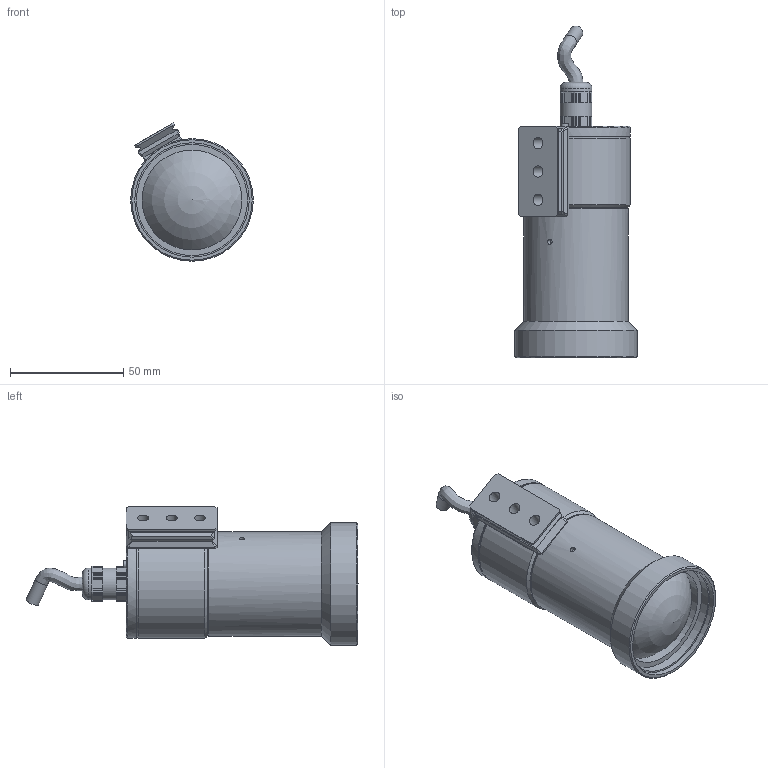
import math

import cadquery as cq


bezel_radius = 27.0
bezel_length = 12.0
bezel_taper = 4.0
rim_chamfer = 0.5

outer_step_radius = 25.2
outer_step_depth = 2.5
inner_step_radius = 24.5
seat_depth = 6.5

lens_radius = 22.0
lens_overhang = 0.1
lens_edge_depth = 10.9
lens_height = lens_edge_depth + lens_overhang

tube_radius = bezel_radius - bezel_taper
rear_radius = 24.0
rear_start = 65.6
rear_chamfer = 1.1
rear_edge_chamfer = 0.5
groove_depth = 0.5
front_groove_width = 0.7
cap_groove_start = 96.7
cap_groove_width = 0.9
rear_face = 102.0

bracket_tilt = 30.0
plate_length = 40.0
plate_width = 20.0
plate_top = 33.5
lip_bottom = 32.7
plate_chamfer = 1.0
side_neck_height = 31.2
side_neck_inset = 1.6
ridge_top = 30.1
ridge_bottom = 28.4
ridge_end_inset = 1.1
ridge_chamfer = 0.7
waist_height = 26.9
waist_side_inset = 0.9
waist_end_inset = 2.2
flange_top = 24.4
flange_bottom = 23.6
slope_chamfer = 0.2
root_inset = 3.0
root_bottom = 20.0
bracket_hole_diameter = 5.0
bracket_hole_pitch = 12.5
bracket_hole_count = 3
bracket_hole_floor = rear_radius

set_hole_diameter = 2.25
set_hole_position = 51.0
set_hole_depth = 2.0

pin_diameter = 3.2
pin_height = 1.4
pin_offset = 10.0

gland_radius = 7.0
gland_end = 121.3
gland_fillet = 2.5
hexagon_sides = 6
gland_corner_radius = 7.85
base_hex_end = 106.5
nut_start = 112.3
nut_end = 117.1
grip_groove_offset = 2.5
grip_groove_width = 1.0
grip_groove_depth = 0.35

cable_diameter = 6.0
cable_bend_points = [
    (0, gland_end, 0),
    (-1.8, 126.2, 0.2),
    (-4.9, 130.8, 2.4),
    (-4.9, 135.3, 4.0),
    (-2.6, 139.3, 0.9),
]
cable_end = (0.15, 143.43, -8.06)


def cylinder(radius, start, end):
    """Solid cylinder on the Y axis between two Y positions."""
    plane = cq.Plane(origin=(0, start, 0), xDir=(1, 0, 0), normal=(0, 1, 0))
    return cq.Workplane(plane).circle(radius).extrude(end - start)


def tilted(shape):
    """Turn a shape built upright about the tube axis."""
    return shape.rotate((0, 0, 0), (0, 1, 0), -bracket_tilt)


def make_housing():
    """Revolved shell outline with the stepped opening and the domed lens."""
    groove_end = rear_start + front_groove_width
    cap_groove_end = cap_groove_start + cap_groove_width
    groove_radius = rear_radius - groove_depth
    lens_sphere_radius = (lens_radius**2 + lens_height**2) / (2 * lens_height)
    lens_mid_radius = lens_radius / 2
    lens_mid_drop = lens_sphere_radius - math.sqrt(lens_sphere_radius**2 - lens_mid_radius**2)
    profile = (
        cq.Workplane("XY")
        .moveTo(0, -lens_overhang)
        .threePointArc((lens_mid_radius, lens_mid_drop - lens_overhang), (lens_radius, lens_edge_depth))
        .lineTo(lens_radius, seat_depth)
        .lineTo(inner_step_radius, seat_depth)
        .lineTo(inner_step_radius, outer_step_depth)
        .lineTo(outer_step_radius, outer_step_depth)
        .lineTo(outer_step_radius, 0)
        .lineTo(bezel_radius - rim_chamfer, 0)
        .lineTo(bezel_radius, rim_chamfer)
        .lineTo(bezel_radius, bezel_length)
        .lineTo(tube_radius, bezel_length + bezel_taper)
        .lineTo(tube_radius, rear_start)
        .lineTo(tube_radius - groove_depth, rear_start)
        .lineTo(tube_radius - groove_depth, groove_end)
        .lineTo(rear_radius - rear_chamfer, groove_end)
        .lineTo(rear_radius, groove_end + rear_chamfer)
        .lineTo(rear_radius, cap_groove_start)
        .lineTo(groove_radius, cap_groove_start)
        .lineTo(groove_radius, cap_groove_end)
        .lineTo(rear_radius, cap_groove_end)
        .lineTo(rear_radius, rear_face - rear_edge_chamfer)
        .lineTo(rear_radius - rear_edge_chamfer, rear_face)
        .lineTo(0, rear_face)
        .close()
    )
    return profile.revolve(360, (0, 0, 0), (0, 1, 0))


def plate_outline(height, side_inset, end_inset, chamfer):
    """Rectangle with cut corners at a height above the tube axis."""
    center_y = rear_face - plate_length / 2
    half_x = plate_width / 2 - side_inset
    half_y = plate_length / 2 - end_inset
    corners = []
    for sign_x, sign_y in [(1, 1), (1, -1), (-1, -1), (-1, 1)]:
        along_x = (sign_x * (half_x - chamfer), center_y + sign_y * half_y, height)
        along_y = (sign_x * half_x, center_y + sign_y * (half_y - chamfer), height)
        in_order = [along_x, along_y] if sign_x == sign_y else [along_y, along_x]
        corners.extend(cq.Vector(*corner) for corner in in_order)
    return cq.Wire.makePolygon(corners, close=True)


def make_bracket():
    """Mounting plate stacked from layers, with undercuts on all four sides."""
    sections = [
        (root_bottom, root_inset, root_inset, plate_chamfer),
        (flange_bottom, root_inset, root_inset, plate_chamfer),
        (flange_bottom, 0, 0, plate_chamfer),
        (flange_top, 0, 0, plate_chamfer),
        (waist_height, waist_side_inset, waist_end_inset, slope_chamfer),
        (ridge_bottom, 0, ridge_end_inset, ridge_chamfer),
        (ridge_top, 0, lip_bottom - ridge_top, slope_chamfer),
        (side_neck_height, side_neck_inset, lip_bottom - side_neck_height, slope_chamfer),
        (lip_bottom, 0, 0, plate_chamfer),
        (plate_top, 0, 0, plate_chamfer),
    ]
    bracket = cq.Workplane("XY")
    for lower, upper in zip(sections, sections[1:]):
        if lower[0] == upper[0]:
            continue
        layer = cq.Solid.makeLoft([plate_outline(*lower), plate_outline(*upper)], True)
        bracket = bracket.union(cq.Workplane(layer))
    holes = (
        cq.Workplane("XY", origin=(0, rear_face - plate_length / 2, bracket_hole_floor))
        .rarray(1, bracket_hole_pitch, 1, bracket_hole_count)
        .circle(bracket_hole_diameter / 2)
        .extrude(plate_top - bracket_hole_floor)
    )
    return tilted(bracket.cut(holes))


def make_set_hole():
    """Cutter for the radial set-screw hole in the main tube."""
    cutter = (
        cq.Workplane("XY", origin=(0, set_hole_position, tube_radius - set_hole_depth))
        .circle(set_hole_diameter / 2)
        .extrude(2 * set_hole_depth)
    )
    return tilted(cutter)


def make_pin():
    """Round pin standing on the rear face."""
    pin = cylinder(pin_diameter / 2, rear_face, rear_face + pin_height)
    return tilted(pin.translate((0, 0, pin_offset)))


def make_gland_hex(start, end):
    """Hexagon with trimmed corners and a grip groove on both sides of each corner."""
    plane = cq.Plane(origin=(0, start, 0), xDir=(1, 0, 0), normal=(0, 1, 0))
    length = end - start
    hexagon = cq.Workplane(plane).polygon(hexagon_sides, 2 * gland_radius, circumscribed=True).extrude(length)
    hexagon = hexagon.intersect(cylinder(gland_corner_radius, start, end))
    for side in range(hexagon_sides):
        for offset in (-grip_groove_offset, grip_groove_offset):
            groove = cq.Workplane("XY").box(grip_groove_depth * 2, length, grip_groove_width)
            groove = groove.translate((gland_radius, (start + end) / 2, offset))
            hexagon = hexagon.cut(groove.rotate((0, 0, 0), (0, 1, 0), side * 360 / hexagon_sides))
    return hexagon


def make_gland():
    """Round gland body with its domed cap and two hexagons."""
    body = cylinder(gland_radius, rear_face, gland_end)
    body = body.faces(">Y").edges().fillet(gland_fillet)
    body = body.union(make_gland_hex(rear_face, base_hex_end))
    return body.union(make_gland_hex(nut_start, nut_end))


def make_cable():
    """Bent cable: a smooth curve out of the gland and a straight end."""
    bend_points = [cq.Vector(*point) for point in cable_bend_points]
    end_point = cq.Vector(*cable_end)
    tangents = [cq.Vector(0, 1, 0), (end_point - bend_points[-1]).normalized()]
    bend = cq.Edge.makeSpline(bend_points, tangents=tangents)
    straight = cq.Edge.makeLine(bend_points[-1], end_point)
    start_plane = cq.Plane(origin=cable_bend_points[0], xDir=(1, 0, 0), normal=(0, 1, 0))
    route = cq.Workplane(cq.Wire.assembleEdges([bend, straight]))
    return cq.Workplane(start_plane).circle(cable_diameter / 2).sweep(route)


housing = make_housing().cut(make_set_hole())
result = housing.union(make_bracket()).union(make_pin()).union(make_gland()).union(make_cable())